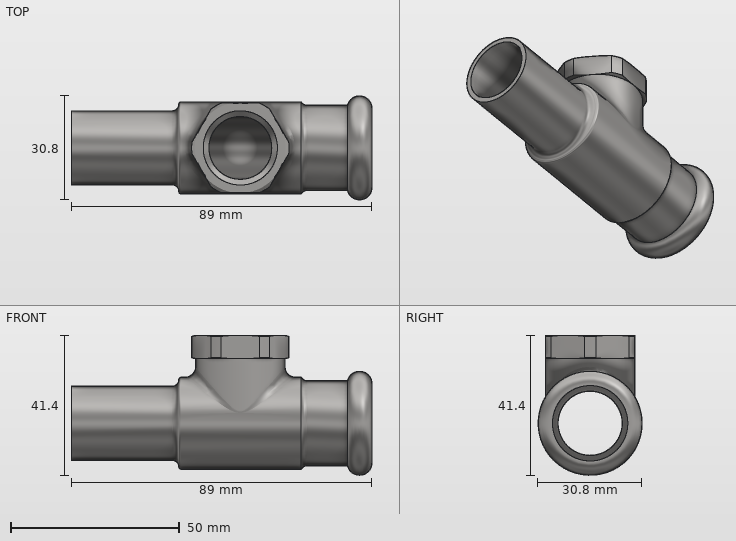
import cadquery as cq
import math

total_length = 89.0
spigot_radius = 22.0 / 2
body_radius = 27.3 / 2
socket_radius = 25.3 / 2
bead_outer_radius = 30.8 / 2
body_start = 32.6
body_end = 68.0
socket_start = 69.8
bead_start = 81.6
bead_round = (total_length - bead_start) / 2
bead_middle = bead_start + bead_round
shoulder_round = 0.8

run_bore_radius = 19.0 / 2
socket_bore_radius = 22.3 / 2

branch_x = 50.0
branch_top = 26.0
branch_radius = 26.5 / 2
branch_bore_radius = 18.6 / 2
countersink_radius = 22.0 / 2
countersink_depth = countersink_radius - branch_bore_radius
branch_fillet = 2.9

hex_across_flats = 2 * branch_radius
hex_across_corners = hex_across_flats / math.cos(math.pi / 6)
hex_height = 6.85
hex_corner_radius = 14.4
hex_face_radius = 13.4
hex_chamfer_angle = 15.0
hex_chamfer_width = hex_corner_radius - hex_face_radius
hex_chamfer_height = hex_chamfer_width * math.tan(math.radians(hex_chamfer_angle))


def make_run():
    """Solid of revolution: spigot, shoulders, body and socket."""
    shoulder_radius = body_radius - shoulder_round
    spigot_fillet = shoulder_radius - spigot_radius
    shoulder_x = body_start - shoulder_round
    socket_step = body_radius - socket_radius
    socket_run = socket_start - body_end
    socket_fillet = (socket_run**2 + socket_step**2) / (2 * socket_step)
    return (
        cq.Workplane("XY")
        .lineTo(0, spigot_radius)
        .lineTo(shoulder_x - spigot_fillet, spigot_radius)
        .radiusArc((shoulder_x, shoulder_radius), -spigot_fillet)
        .radiusArc((body_start, body_radius), shoulder_round)
        .lineTo(body_end, body_radius)
        .radiusArc((socket_start, socket_radius), -socket_fillet)
        .lineTo(bead_middle, socket_radius)
        .lineTo(bead_middle, 0)
        .close()
        .revolve(360, (0, 0, 0), (1, 0, 0))
    )


def make_bead():
    """Rounded bead at the socket mouth, filled to the axis."""
    bead_center_radius = bead_outer_radius - bead_round
    return (
        cq.Workplane("XY")
        .moveTo(bead_start, 0)
        .lineTo(bead_start, bead_center_radius)
        .threePointArc((bead_middle, bead_outer_radius), (total_length, bead_center_radius))
        .lineTo(total_length, 0)
        .close()
        .revolve(360, (0, 0, 0), (1, 0, 0))
    )


def make_hex_collar():
    """Hexagon with flats facing +Y and -Y, cut by a disc with chamfered rims."""
    hex_bottom = branch_top - hex_height
    base = cq.Workplane("XY").workplane(offset=hex_bottom).center(branch_x, 0)
    hexagon = base.polygon(6, hex_across_corners).extrude(hex_height)
    disc = (
        base.circle(hex_corner_radius)
        .extrude(hex_height)
        .edges("%CIRCLE")
        .chamfer(hex_chamfer_height, hex_chamfer_width)
    )
    return hexagon.intersect(disc)


def make_run_bore():
    """Through bore with the wider socket bore at the +X end."""
    bore = cq.Workplane("YZ").circle(run_bore_radius).extrude(total_length)
    socket = (
        cq.Workplane("YZ")
        .workplane(offset=socket_start)
        .circle(socket_bore_radius)
        .extrude(total_length - socket_start)
    )
    return bore.union(socket)


def make_branch_bore():
    """Bore from the run axis up to the outlet, with a countersunk mouth."""
    return (
        cq.Workplane("XZ", origin=(branch_x, 0, 0))
        .lineTo(branch_bore_radius, 0)
        .lineTo(branch_bore_radius, branch_top - countersink_depth)
        .lineTo(countersink_radius, branch_top)
        .lineTo(0, branch_top)
        .close()
        .revolve(360, (0, 0, 0), (0, 1, 0))
    )


branch = cq.Workplane("XY").center(branch_x, 0).circle(branch_radius).extrude(branch_top)
joint_zone = cq.selectors.BoxSelector(
    (branch_x - branch_radius, -body_radius, 0),
    (branch_x + branch_radius, body_radius, body_radius),
)
outer = make_run().union(branch)
outer = outer.edges(joint_zone).fillet(branch_fillet)
outer = outer.union(make_bead()).union(make_hex_collar())

result = outer.cut(make_run_bore()).cut(make_branch_bore())